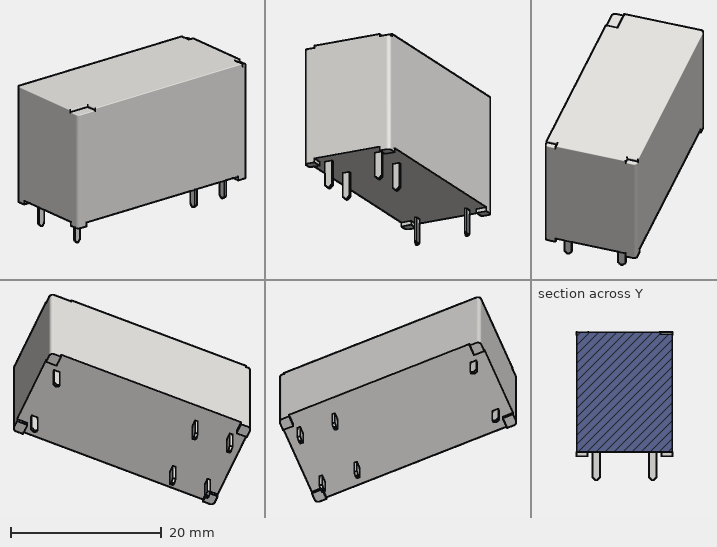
import cadquery as cq

case_width = 12.8
case_length = 29.0
case_height = 16.5
corner_radius = 0.5
rim_radius = 0.1

foot_size = 1.5
foot_height = 0.55

notch_depth = 0.3
front_notch_width = 1.6
front_notch_length = 3.0
rear_notch_width = 1.5
rear_notch_length = 0.75
floor_tolerance = 0.01

pin_drop = 3.2
pin_x = 3.75
coil_pin_y = -12.5
contact_pin_rows = (7.5, 12.5)
coil_pin_thickness = 0.3
coil_pin_width = 0.85
contact_pin_thickness = 0.4
contact_pin_width = 1.0
tip_height = 0.4
tip_width = 0.15
pin_embed = 0.5

half_width = case_width / 2
half_length = case_length / 2


def corner_block(side_x, side_y, width, length, bottom, top):
    """Box filling one corner of the case outline, between two heights."""
    return (
        cq.Workplane("XY", origin=(0, 0, bottom))
        .center(side_x * (half_width - width / 2), side_y * (half_length - length / 2))
        .rect(width, length)
        .extrude(top - bottom)
    )


def make_case():
    """Rounded case standing on four corner feet, with three notched top corners."""
    case = (
        cq.Workplane("XY", origin=(0, 0, foot_height))
        .rect(case_width, case_length)
        .extrude(case_height - foot_height)
    )
    for side_x in (-1, 1):
        for side_y in (-1, 1):
            case = case.union(corner_block(side_x, side_y, foot_size, foot_size, 0, foot_height))

    outline = (
        cq.Workplane("XY")
        .rect(case_width, case_length)
        .extrude(case_height)
        .edges("|Z")
        .fillet(corner_radius)
    )
    case = case.intersect(outline)

    notch_floor = case_height - notch_depth
    case = case.cut(
        corner_block(1, -1, front_notch_width, front_notch_length, notch_floor, case_height)
    )
    for side_x in (-1, 1):
        case = case.cut(
            corner_block(side_x, 1, rear_notch_width, rear_notch_length, notch_floor, case_height)
        )
    case = case.faces(">Z").edges().fillet(rim_radius)

    floor_band = cq.selectors.BoxSelector(
        (-half_width, -half_length, notch_floor - floor_tolerance),
        (half_width, half_length, notch_floor + floor_tolerance),
    )
    outer_edges = case.faces(floor_band).edges("%CIRCLE or >X or <X or >Y or <Y")
    return outer_edges.fillet(rim_radius)


def make_pin(x, y, width, thickness, plane):
    """Flat pin with a tapered tip; its width lies along the plane's first axis."""
    top = foot_height + pin_embed
    shoulder = tip_height - pin_drop
    return (
        cq.Workplane(plane, origin=(x, y, 0))
        .polyline(
            [
                (-width / 2, top),
                (width / 2, top),
                (width / 2, shoulder),
                (tip_width / 2, -pin_drop),
                (-tip_width / 2, -pin_drop),
                (-width / 2, shoulder),
            ]
        )
        .close()
        .extrude(thickness / 2, both=True)
    )


result = make_case()
for x in (-pin_x, pin_x):
    result = result.union(make_pin(x, coil_pin_y, coil_pin_width, coil_pin_thickness, "YZ"))
    for y in contact_pin_rows:
        result = result.union(make_pin(x, y, contact_pin_width, contact_pin_thickness, "XZ"))